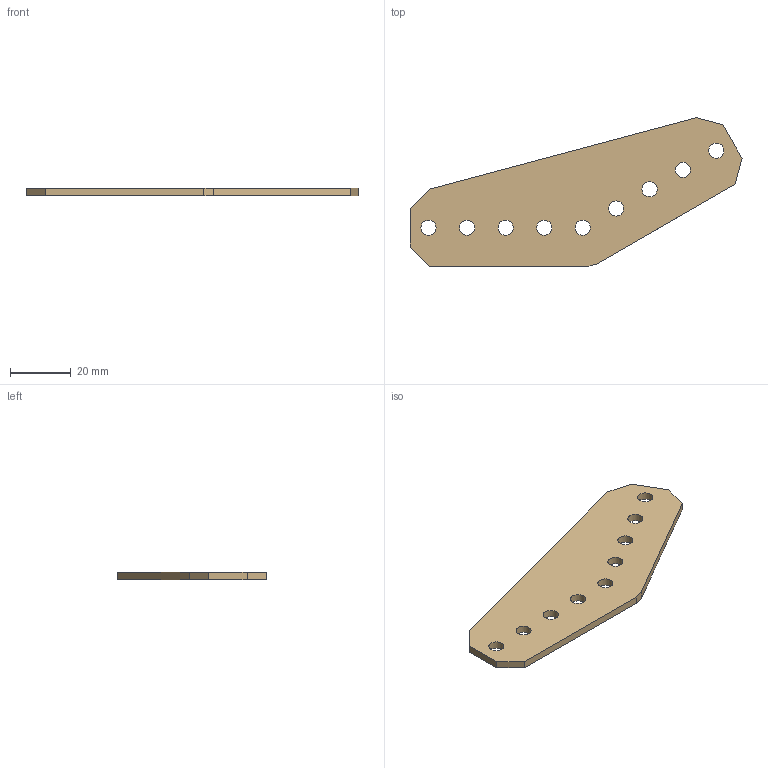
import cadquery as cq
import math

THICKNESS = 2.5
HOLE_PITCH = 12.7
HOLE_DIAMETER = 5.0
HOLES_PER_ARM = 4
BEND_ANGLE = 30.0
END_CLEARANCE = 0.254

HALF_WIDTH = HOLE_PITCH
CORNER_CHAMFER = HOLE_PITCH / 2
ARM_LENGTH = (HOLES_PER_ARM + 0.5) * HOLE_PITCH - END_CLEARANCE
CHAMFER_START = ARM_LENGTH - CORNER_CHAMFER
BEND_FLAT_START = HALF_WIDTH * math.tan(math.radians(BEND_ANGLE / 4))


def mirrored(point):
    """Reflect a point of the first arm onto the second arm, across the bend's bisector."""
    x, y = point
    angle = math.radians(BEND_ANGLE)
    return (
        -x * math.cos(angle) - y * math.sin(angle),
        -x * math.sin(angle) + y * math.cos(angle),
    )


def make_plate():
    """Flat plate with two mirrored arms, webbed straight across the inside of the bend."""
    first_arm = [
        (-CHAMFER_START, HALF_WIDTH),
        (-ARM_LENGTH, HALF_WIDTH - CORNER_CHAMFER),
        (-ARM_LENGTH, CORNER_CHAMFER - HALF_WIDTH),
        (-CHAMFER_START, -HALF_WIDTH),
        (BEND_FLAT_START, -HALF_WIDTH),
    ]
    second_arm = [mirrored(point) for point in reversed(first_arm)]
    return cq.Workplane("XY").polyline(first_arm + second_arm).close().extrude(THICKNESS)


def hole_centres():
    """Bend hole followed by the evenly pitched holes along both arms."""
    first_arm = [(-i * HOLE_PITCH, 0) for i in range(1, HOLES_PER_ARM + 1)]
    second_arm = [mirrored(point) for point in first_arm]
    return [(0, 0)] + first_arm + second_arm


def drill_holes(plate):
    """Cut every hole right through the plate."""
    holes = (
        cq.Workplane("XY")
        .pushPoints(hole_centres())
        .circle(HOLE_DIAMETER / 2)
        .extrude(THICKNESS)
    )
    return plate.cut(holes)


result = drill_holes(make_plate())